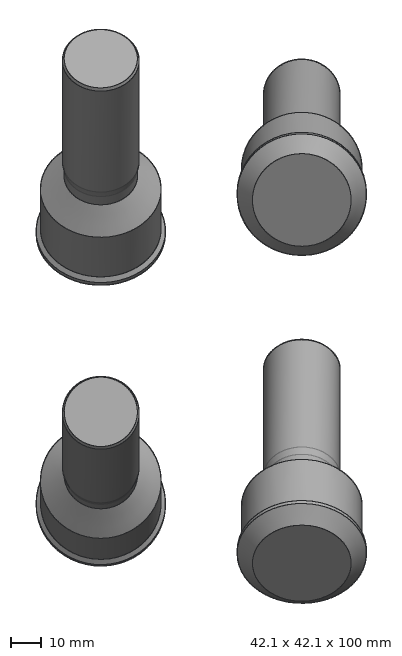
import cadquery as cq

TOTAL_HEIGHT = 100.0
RIM_BOTTOM = 5.0
RIM_HEIGHT = 1.5
CAP_HEIGHT = 7.7
BARREL_TOP = 29.2
NECK_BOTTOM = 36.6
NECK_TOP = 41.1
SHANK_BOTTOM = 44.2

RIM_DIAMETER = 42.1
BARREL_DIAMETER = 39.3
NECK_DIAMETER = 24.0
SHANK_DIAMETER = 25.0

TOP_CHAMFER_HEIGHT = 1.0
TOP_CHAMFER_WIDTH = 0.6

rim_radius = RIM_DIAMETER / 2
barrel_radius = BARREL_DIAMETER / 2
neck_radius = NECK_DIAMETER / 2
shank_radius = SHANK_DIAMETER / 2
foot_radius = rim_radius - RIM_BOTTOM
rim_top = RIM_BOTTOM + RIM_HEIGHT


def revolve_profile(outer_points, workplane):
    """Revolve (radius, height) points, closed along the Z axis, into a solid."""
    bottom = outer_points[0][1]
    top = outer_points[-1][1]
    profile = [(0, bottom), *outer_points, (0, top)]
    return workplane.polyline(profile).close().revolve(360, (0, 0), (0, 1))


def make_cap():
    """Bevelled end cap with a rim wider than the barrel."""
    outline = [
        (foot_radius, 0),
        (rim_radius, RIM_BOTTOM),
        (rim_radius, rim_top),
        (barrel_radius, CAP_HEIGHT),
    ]
    return revolve_profile(outline, cq.Workplane("XZ"))


def make_stem():
    """Barrel, conical shoulder, neck and chamfered shank, standing on the cap."""
    outline = [
        (barrel_radius, CAP_HEIGHT),
        (barrel_radius, BARREL_TOP),
        (neck_radius, NECK_BOTTOM),
        (neck_radius, NECK_TOP),
        (shank_radius, SHANK_BOTTOM),
        (shank_radius, TOTAL_HEIGHT - TOP_CHAMFER_HEIGHT),
        (shank_radius - TOP_CHAMFER_WIDTH, TOTAL_HEIGHT),
    ]
    return revolve_profile(outline, cq.Workplane("YZ"))


cap = make_cap()
stem = make_stem()

result = cq.Compound.makeCompound([cap.val(), stem.val()])